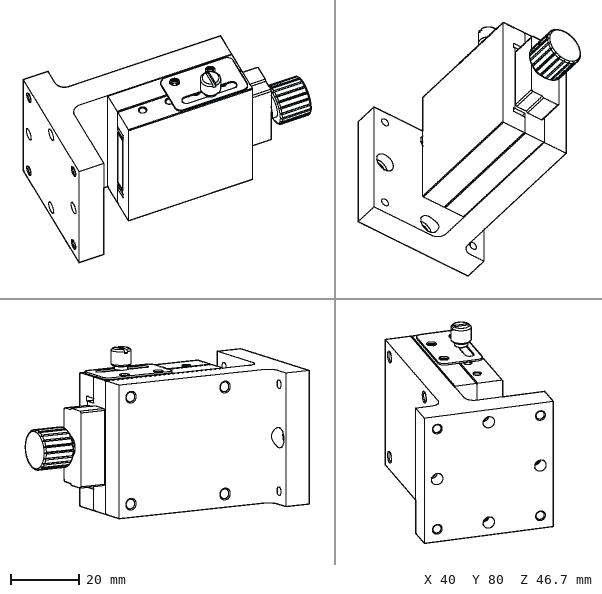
import cadquery as cq
import math

PLATE = 40.0
BRACKET_WALL = 8.0
LEG_FACE_X = -4.0
BRACKET_LENGTH = 60.0
BRACKET_FILLET = 3.0
HOLE_OFFSET = 16.0
FOOT_TAP = 2.5
FOOT_TAP_MOUTH = 3.0
FOOT_CLEARANCE = 3.5
COUNTERBORE = 6.0
COUNTERBORE_DEPTH = 3.0
LEG_TAP = 2.9
LEG_TAP_MOUTH = 3.5

STAGE_FRONT = BRACKET_LENGTH - PLATE
STAGE_MIDDLE = BRACKET_LENGTH - PLATE / 2
STAGE_THICKNESS = 15.0
BASE_THICKNESS = 7.0
EDGE_BREAK = 0.2
SPLIT_X = LEG_FACE_X + BASE_THICKNESS
SLIDE_FACE_X = LEG_FACE_X + STAGE_THICKNESS

RAIL_HEIGHT = 24.3
RAIL_RISE = 3.6
RAIL_ROOT = 0.8
RAIL_LAND = 1.1
RAIL_RECESS = 0.2
RAIL_GAP = 1.4
RELIEF_DEPTH = 4.1

BLOCK_LENGTH = 8.1
BLOCK_HEIGHT = 23.0
BLOCK_LEFT = -3.5
BLOCK_STEP = 2.6
BLOCK_RIGHT = 6.5
BLOCK_CHAMFER = 0.5

LOCK_PLATE_LEFT = -3.0
LOCK_PLATE_WIDTH = 13.7
LOCK_PLATE_LENGTH = 23.3
LOCK_PLATE_THICKNESS = 0.5
LOCK_PLATE_CORNER = 2.0
LOCK_PLATE_Y = 47.6
LOCK_SLOT_LENGTH = 17.4
LOCK_SLOT_WIDTH = 2.7
PLATE_HOLE_X = -0.5
PLATE_HOLE_PITCH = 11.5
PLATE_HOLE = 2.9
PLATE_HOLE_Y = 45.8
SOCKET = 1.6
SOCKET_MOUTH = 2.0
SOCKET_DEPTH = 1.0
SOCKET_TIP_ANGLE = 118.0

LOCK_X = 7.5
LOCK_Y = 48.0
LOCK_SHANK = 2.5
LOCK_NECK = 4.0
LOCK_HEAD = 6.0
LOCK_HEAD_BOTTOM = 21.6
LOCK_TOP = 26.7
LOCK_CHAMFER = 0.6
DRIVER_SLOT_WIDTH = 1.0
DRIVER_SLOT_DEPTH = 1.0

SET_SCREW_X = 5.4
SET_SCREW_FIRST_Y = 27.0
SET_SCREW_PITCH = 8.6
SET_SCREW_COUNT = 4
SET_SCREW_HOLE = 2.0
SET_SCREW_MOUTH = 2.5

KNOB_END = 80.0
KNOB_LENGTH = 10.0
KNOB_DIAMETER = 12.0
KNOB_CHAMFER = 0.5
COLLAR_DIAMETER = 7.0
COLLAR_CHAMFER = 0.3
FLUTE_COUNT = 20
FLUTE_WIDTH = 0.6
FLUTE_DEPTH = 0.3


def box(x0, x1, y0, y1, z0, z1):
    return cq.Workplane("XY").box(x1 - x0, y1 - y0, z1 - z0, centered=False).translate((x0, y0, z0))


def chamfered_hole(start, direction, diameter, mouth, depth):
    """Cutter for a hole whose mouth widens at 45 degrees."""
    bevel = (mouth - diameter) / 2
    bore = cq.Solid.makeCylinder(diameter / 2, depth, start, direction)
    cone = cq.Solid.makeCone(mouth / 2, diameter / 2, bevel, start, direction)
    return cq.Workplane(bore.fuse(cone))


def counterbored_hole(x, z):
    """Cutter through the foot, its counterbore reaching on through the fillet."""
    rearward = cq.Vector(0, 1, 0)
    seat = BRACKET_WALL - COUNTERBORE_DEPTH
    fillet_end = BRACKET_WALL + BRACKET_FILLET
    bore = cq.Solid.makeCylinder(FOOT_CLEARANCE / 2, seat, cq.Vector(x, 0, z), rearward)
    recess = cq.Solid.makeCylinder(COUNTERBORE / 2, fillet_end - seat, cq.Vector(x, seat, z), rearward)
    return cq.Workplane(bore.fuse(recess))


def make_bracket():
    half = PLATE / 2
    foot = box(-half, half, 0, BRACKET_WALL, -half, half)
    leg = box(LEG_FACE_X - BRACKET_WALL, LEG_FACE_X, 0, BRACKET_LENGTH, -half, half)
    bracket = foot.union(leg)
    for x in (LEG_FACE_X - BRACKET_WALL, LEG_FACE_X):
        inner_corner = cq.selectors.NearestToPointSelector((x, BRACKET_WALL, 0))
        bracket = bracket.edges("|Z").edges(inner_corner).fillet(BRACKET_FILLET)
    for side in (-1, 1):
        offset = side * HOLE_OFFSET
        for x, z in ((offset, 0), (0, offset)):
            bracket = bracket.cut(counterbored_hole(x, z))
        for other_offset in (-HOLE_OFFSET, HOLE_OFFSET):
            foot_start = cq.Vector(other_offset, 0, offset)
            bracket = bracket.cut(
                chamfered_hole(foot_start, cq.Vector(0, 1, 0), FOOT_TAP, FOOT_TAP_MOUTH, BRACKET_WALL)
            )
            leg_start = cq.Vector(LEG_FACE_X - BRACKET_WALL, STAGE_MIDDLE + other_offset, offset)
            bracket = bracket.cut(
                chamfered_hole(leg_start, cq.Vector(1, 0, 0), LEG_TAP, LEG_TAP_MOUTH, BRACKET_WALL)
            )
    return bracket


def stage_slab(x0, x1):
    slab = box(x0, x1, STAGE_FRONT, BRACKET_LENGTH, -PLATE / 2, PLATE / 2)
    return slab.edges("|Y").chamfer(EDGE_BREAK)


def make_drive_block():
    """Stepped block behind the stage that carries the knob."""
    rear = BRACKET_LENGTH + BLOCK_LENGTH
    half = BLOCK_HEIGHT / 2
    low_half = half - BLOCK_CHAMFER
    wide = box(BLOCK_LEFT, BLOCK_STEP, BRACKET_LENGTH, rear, -half, half)
    wide = wide.edges("|Y").chamfer(BLOCK_CHAMFER)
    narrow = box(BLOCK_LEFT + BLOCK_CHAMFER, BLOCK_RIGHT, BRACKET_LENGTH, rear, -low_half, low_half)
    narrow = narrow.edges("|Y and >X").chamfer(BLOCK_CHAMFER)
    return wide.union(narrow)


def make_lock_plate():
    plate = box(
        LOCK_PLATE_LEFT,
        LOCK_PLATE_LEFT + LOCK_PLATE_WIDTH,
        LOCK_PLATE_Y - LOCK_PLATE_LENGTH / 2,
        LOCK_PLATE_Y + LOCK_PLATE_LENGTH / 2,
        PLATE / 2,
        PLATE / 2 + LOCK_PLATE_THICKNESS,
    )
    plate = plate.edges("|Z").fillet(LOCK_PLATE_CORNER)
    slot = (
        cq.Workplane("XY", origin=(LOCK_X, LOCK_PLATE_Y, PLATE / 2))
        .slot2D(LOCK_SLOT_LENGTH, LOCK_SLOT_WIDTH, 90)
        .extrude(LOCK_PLATE_THICKNESS)
    )
    return plate.cut(slot)


def plate_hole_cutter(y):
    """Hole through the lock plate with a smaller, drill-pointed bore below it."""
    down = cq.Vector(0, 0, -1)
    base_top = PLATE / 2
    tip_depth = SOCKET / 2 / math.tan(math.radians(SOCKET_TIP_ANGLE / 2))
    plate_top = cq.Vector(PLATE_HOLE_X, y, base_top + LOCK_PLATE_THICKNESS)
    hole = cq.Solid.makeCylinder(PLATE_HOLE / 2, LOCK_PLATE_THICKNESS, plate_top, down)
    bore_start = cq.Vector(PLATE_HOLE_X, y, base_top)
    bore = chamfered_hole(bore_start, down, SOCKET, SOCKET_MOUTH, SOCKET_DEPTH)
    tip_start = cq.Vector(PLATE_HOLE_X, y, base_top - SOCKET_DEPTH)
    tip = cq.Solid.makeCone(SOCKET / 2, 0, tip_depth, tip_start, down)
    return bore.union(cq.Workplane(hole)).union(cq.Workplane(tip))


def make_rail():
    """Rail of the base, its front end set back between the upper and lower lands."""
    right = SPLIT_X + RAIL_RISE
    half = RAIL_HEIGHT / 2
    land_edge = half - RAIL_LAND
    rail = box(SPLIT_X - RAIL_ROOT, right, STAGE_FRONT, BRACKET_LENGTH, -half, half)
    recess = box(SPLIT_X, right, STAGE_FRONT, STAGE_FRONT + RAIL_RECESS, -land_edge, land_edge)
    return rail.cut(recess)


def make_base():
    base = stage_slab(LEG_FACE_X, SPLIT_X).union(make_rail())
    base = base.union(make_drive_block()).union(make_lock_plate())
    for side in (-1, 1):
        base = base.cut(plate_hole_cutter(PLATE_HOLE_Y + side * PLATE_HOLE_PITCH / 2))
    return base


def make_lock_screw():
    plate_top = PLATE / 2 + LOCK_PLATE_THICKNESS
    at_axis = cq.Workplane("XY", origin=(LOCK_X, LOCK_Y, 0))
    shank = at_axis.workplane(offset=PLATE / 2).circle(LOCK_SHANK / 2).extrude(LOCK_PLATE_THICKNESS)
    neck = at_axis.workplane(offset=plate_top).circle(LOCK_NECK / 2).extrude(LOCK_HEAD_BOTTOM - plate_top)
    head = (
        at_axis.workplane(offset=LOCK_HEAD_BOTTOM)
        .circle(LOCK_HEAD / 2)
        .extrude(LOCK_TOP - LOCK_HEAD_BOTTOM)
        .edges()
        .chamfer(LOCK_CHAMFER)
    )
    slot = box(
        LOCK_X - LOCK_HEAD,
        LOCK_X + LOCK_HEAD,
        LOCK_Y - DRIVER_SLOT_WIDTH / 2,
        LOCK_Y + DRIVER_SLOT_WIDTH / 2,
        LOCK_TOP - DRIVER_SLOT_DEPTH,
        LOCK_TOP,
    )
    return shank.union(neck).union(head.cut(slot))


def make_slide():
    half_rail = RAIL_HEIGHT / 2
    half_opening = half_rail + RAIL_GAP
    slide = stage_slab(SPLIT_X, SLIDE_FACE_X)
    slide = slide.cut(
        box(SPLIT_X, SPLIT_X + RAIL_RISE, STAGE_FRONT, BRACKET_LENGTH, -half_rail, half_rail)
    )
    for bottom in (half_rail, -half_opening):
        slide = slide.cut(
            box(SPLIT_X, SPLIT_X + RELIEF_DEPTH, STAGE_FRONT, BRACKET_LENGTH, bottom, bottom + RAIL_GAP)
        )
    depth = PLATE / 2 - half_opening
    for index in range(SET_SCREW_COUNT):
        start = cq.Vector(SET_SCREW_X, SET_SCREW_FIRST_Y + index * SET_SCREW_PITCH, PLATE / 2)
        slide = slide.cut(
            chamfered_hole(start, cq.Vector(0, 0, -1), SET_SCREW_HOLE, SET_SCREW_MOUTH, depth)
        )
    return slide.union(make_lock_screw())


def make_knob():
    """Fluted knob and its collar, turned about an axis along Y in the split plane."""
    grip_start = KNOB_END - KNOB_LENGTH
    collar_start = BRACKET_LENGTH + BLOCK_LENGTH
    radius = KNOB_DIAMETER / 2
    grip = cq.Workplane("XZ", origin=(SPLIT_X, grip_start, 0)).circle(radius).extrude(-KNOB_LENGTH)
    grip = grip.edges().chamfer(KNOB_CHAMFER)
    flute = (
        cq.Workplane("XZ", origin=(SPLIT_X, grip_start, 0))
        .polyline([(radius - FLUTE_DEPTH, 0), (radius, FLUTE_WIDTH / 2), (radius, -FLUTE_WIDTH / 2)])
        .close()
        .extrude(-KNOB_LENGTH)
    )
    for index in range(FLUTE_COUNT):
        angle = index * 360 / FLUTE_COUNT
        grip = grip.cut(flute.rotate((SPLIT_X, 0, 0), (SPLIT_X, 1, 0), angle))
    collar = (
        cq.Workplane("XZ", origin=(SPLIT_X, collar_start, 0))
        .circle(COLLAR_DIAMETER / 2)
        .extrude(collar_start - grip_start)
        .faces("<Y")
        .edges()
        .chamfer(COLLAR_CHAMFER)
    )
    return grip.union(collar)


bracket = make_bracket().solids()
base = make_base().solids()
slide = make_slide().solids()
knob = make_knob().solids()

result = cq.Compound.makeCompound([bracket.val(), base.val(), slide.val(), knob.val()])